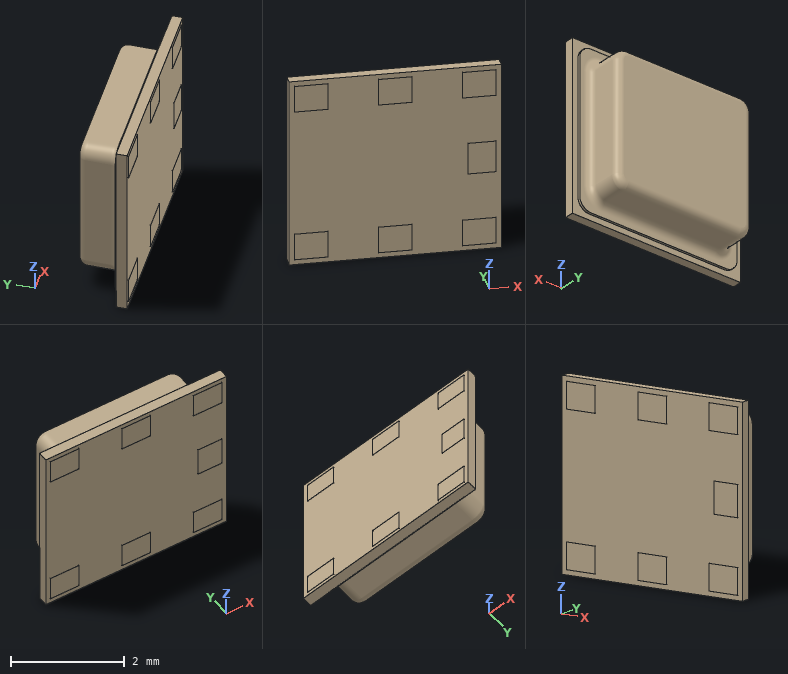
import cadquery as cq

board_width = 3.8
board_height = 3.6
board_thickness = 0.2

pad_long = 0.6
pad_short = 0.5
pad_depth = 0.05
pad_margin = 0.1

total_depth = 1.0
flange_margin = 0.125
flange_thickness = 0.05
flange_corner_radius = 0.25
cap_inset = 0.25
cap_corner_radius = 0.25
bend_radius = 0.15

column_x = board_width / 2 - pad_margin - pad_long / 2
row_z = board_height / 2 - pad_margin - pad_short / 2
side_pad_x = board_width / 2 - pad_margin - pad_short / 2
flange_width = board_width - 2 * flange_margin
flange_height = board_height - 2 * flange_margin
cap_width = flange_width - 2 * cap_inset
cap_height = flange_height - 2 * cap_inset
flange_top = board_thickness + flange_thickness
cap_depth = total_depth - flange_top

pad_layout = [
    (x, z, pad_long, pad_short)
    for z in (-row_z, row_z)
    for x in (-column_x, 0, column_x)
]
pad_layout.append((side_pad_x, 0, pad_short, pad_long))


def plate(width, depth, height, start_y):
    """Block centred on X and Z that runs from start_y towards +Y."""
    return cq.Workplane("XY").box(width, depth, height).translate((0, start_y + depth / 2, 0))


def make_pad(x, z, width, height):
    """Thin rectangular pad whose outer face lies at Y = 0."""
    return plate(width, pad_depth, height, 0).translate((x, 0, z))


def make_board(pads):
    """Plate with a matching recess for every pad."""
    board = plate(board_width, board_thickness, board_height, 0)
    for pad in pads:
        board = board.cut(pad)
    return board


def make_lid():
    """Cap and flange in one piece, with a rounded rim and a rounded foot."""
    flange = plate(flange_width, flange_thickness, flange_height, board_thickness)
    flange = flange.edges("|Y").fillet(flange_corner_radius)
    cap = plate(cap_width, cap_depth, cap_height, flange_top)
    cap = cap.edges("|Y").fillet(cap_corner_radius)
    cap = cap.faces(">Y").edges().fillet(bend_radius)

    slack = flange_thickness / 2
    foot = cq.selectors.BoxSelector(
        (-cap_width / 2 - slack, flange_top - slack, -cap_height / 2 - slack),
        (cap_width / 2 + slack, flange_top + slack, cap_height / 2 + slack),
    )
    return flange.union(cap).edges(foot).fillet(bend_radius)


pads = [make_pad(*place) for place in pad_layout]
board = make_board(pads)
lid = make_lid()

result = cq.Compound.makeCompound([board.val(), lid.val(), *[pad.val() for pad in pads]])